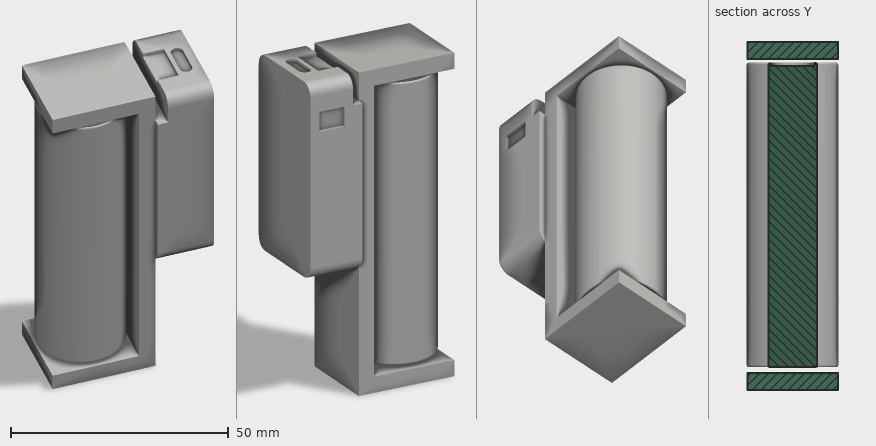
import cadquery as cq

bracket_height = 80.1
cell_diameter = 21.1
wall = 4.0
bracket_width = 21.0
bracket_depth = cell_diameter + wall

cell_length = 69.9
cell_bottom = 5.3
cell_edge_radius = 0.5

cell_recess_diameter = 20.35
cell_recess_depth = 0.65

case_width = 24.35
case_depth = 13.7
case_height = 48.4
case_corner_radius = 3.0

step_depth = 2.5
step_drop = 7.05

port_length = 9.0
port_width = 3.0
port_from_back = 3.6
recess_depth = 1.0

socket_width = 10.1
socket_length = 5.1

window_length = 6.6
window_height = 4.9
window_from_back = 5.7
window_below_top = 9.4

back_wall_face = cell_diameter
case_front = bracket_depth
case_back = case_front + case_depth
case_top = bracket_height
case_bottom = case_top - case_height
step_back = case_front + step_depth


def block(x_range, y_range, z_range):
    """Box spanning the given (low, high) ranges."""
    lows, highs = zip(x_range, y_range, z_range)
    size = [high - low for low, high in zip(lows, highs)]
    return cq.Workplane("XY").box(*size, centered=False).translate(lows)


def centred(middle, length):
    """(low, high) range of the given length about its middle."""
    return (middle - length / 2, middle + length / 2)


def make_bracket():
    body = block(centred(0, bracket_width), (0, bracket_depth), (0, bracket_height))
    bay = block(centred(0, bracket_width), (0, back_wall_face), (wall, bracket_height - wall))
    return body.cut(bay)


def make_cell():
    body = (
        cq.Workplane("XY", origin=(0, cell_diameter / 2, cell_bottom))
        .circle(cell_diameter / 2)
        .extrude(cell_length)
        .edges("%CIRCLE")
        .fillet(cell_edge_radius)
    )
    recess = (
        cq.Workplane("XY", origin=(0, cell_diameter / 2, cell_bottom + cell_length))
        .circle(cell_recess_diameter / 2)
        .extrude(-cell_recess_depth)
    )
    return body.cut(recess)


def make_case():
    body = block(centred(0, case_width), (case_front, case_back), (case_bottom, case_top))
    body = body.edges("|Y").fillet(case_corner_radius)

    step = block(centred(0, case_width), (case_front, step_back), (case_top - step_drop, case_top))

    recess_floor = case_top - recess_depth
    port = (
        cq.Workplane("XY", origin=(0, case_back - port_from_back, recess_floor))
        .slot2D(port_length, port_width)
        .extrude(recess_depth)
    )
    socket = block(
        centred(0, socket_width),
        (step_back, step_back + socket_length),
        (recess_floor, case_top),
    )
    window = block(
        (-case_width / 2, -case_width / 2 + recess_depth),
        centred(case_back - window_from_back, window_length),
        centred(case_top - window_below_top, window_height),
    )
    return body.cut(step).cut(port).cut(socket).cut(window)


bracket = make_bracket()
cell = make_cell()
case = make_case()

result = cq.Compound.makeCompound([bracket.val(), cell.val(), case.val()])